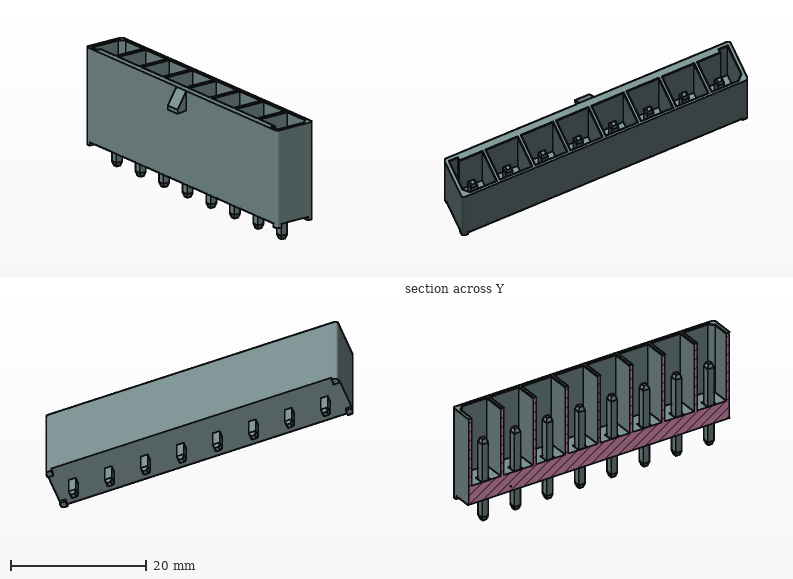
import cadquery as cq

length = 46.25
width = 6.75
top_z = 18.5
body_bottom_z = 3.75
corner_radius = 0.45

standoff_size = 0.92
standoff_height = 0.55
standoff_bottom_z = body_bottom_z - standoff_height

cell_count = 8
pin_row_length = 39.9
pitch = pin_row_length / (cell_count - 1)
cell_size = 5.1
cell_center_y = 0.35
cell_front_y = cell_center_y - cell_size / 2
cell_back_y = cell_center_y + cell_size / 2
floor_z = 6.95
rim_chamfer = 0.1

end_wall = 0.65
end_chamfer = 0.8
notch_depth = 0.55
notch_length = 1.35

pin_size = 1.1
pin_tip_size = 0.65
pin_tip_height = 0.7
pin_top_z = 13.88
funnel_size = 1.55
funnel_depth = 0.25

latch_width = 2.35
latch_reach = 1.6
latch_height = 3.25
latch_lip_height = 0.65
latch_undercut = 0.2


def cell_x(index):
    return (index - (cell_count - 1) / 2) * pitch


def make_block(size_x, size_y, z_min, z_max, center=(0, 0)):
    return (
        cq.Workplane("XY", origin=(*center, z_min))
        .rect(size_x, size_y).extrude(z_max - z_min)
    )


def make_tapered_block(x, z_min, bottom_size, height, top_size):
    return (
        cq.Workplane("XY", origin=(x, 0, z_min)).rect(bottom_size, bottom_size)
        .workplane(offset=height).rect(top_size, top_size).loft()
    )


def make_body():
    """Rounded block whose underside is relieved to leave four corner standoffs."""
    body = make_block(length, width, standoff_bottom_z, top_z)
    body = body.edges("|Z").fillet(corner_radius)
    relief_along_x = make_block(length - 2 * standoff_size, width, standoff_bottom_z, body_bottom_z)
    relief_along_y = make_block(length, width - 2 * standoff_size, standoff_bottom_z, body_bottom_z)
    return body.cut(relief_along_x).cut(relief_along_y)


def make_middle_cavity(x):
    return make_block(cell_size, cell_size, floor_z, top_z, center=(x, cell_center_y))


def make_end_cavity():
    """Cavity at the -X end; the one at the +X end is its mirror image."""
    left = -length / 2 + end_wall
    right = cell_x(0) + cell_size / 2
    outline = [
        (left, cell_front_y - notch_depth),
        (left + notch_length, cell_front_y - notch_depth),
        (left + notch_length, cell_front_y),
        (right, cell_front_y),
        (right, cell_back_y),
        (left + end_chamfer, cell_back_y),
        (left, cell_back_y - end_chamfer),
    ]
    return (
        cq.Workplane("XY", origin=(0, 0, floor_z))
        .polyline(outline).close().extrude(top_z - floor_z)
    )


def chamfer_cavity_rims(housing):
    """Chamfer every edge of the top face except those of the outer outline."""
    inner_x = (length - end_wall) / 2
    inner_y = (width - end_wall) / 2
    inside_outline = cq.selectors.BoxSelector(
        (-inner_x, -inner_y, floor_z),
        (inner_x, inner_y, top_z + rim_chamfer),
    )
    return housing.faces(">Z").edges(inside_outline).chamfer(rim_chamfer)


def make_funnel(x):
    return make_tapered_block(x, floor_z - funnel_depth, pin_size, funnel_depth, funnel_size)


def make_pin(x):
    shank_top_z = pin_top_z - pin_tip_height
    shank = make_block(pin_size, pin_size, pin_tip_height, shank_top_z, center=(x, 0))
    lower_tip = make_tapered_block(x, 0, pin_tip_size, pin_tip_height, pin_size)
    upper_tip = make_tapered_block(x, shank_top_z, pin_size, pin_tip_height, pin_tip_size)
    return shank.union(lower_tip).union(upper_tip)


def make_latch():
    """Ramp sloping out from the top edge to a short lip with an undercut catch face."""
    wall_y = -width / 2
    lip_y = wall_y - latch_reach
    lip_bottom_z = top_z - latch_height
    profile = [
        (wall_y, top_z),
        (lip_y, lip_bottom_z + latch_lip_height),
        (lip_y, lip_bottom_z),
        (wall_y, lip_bottom_z + latch_undercut),
    ]
    return (
        cq.Workplane("YZ").polyline(profile).close()
        .extrude(latch_width / 2, both=True)
    )


end_cavity = make_end_cavity()
result = make_body().cut(end_cavity).cut(end_cavity.mirror("YZ"))
for index in range(1, cell_count - 1):
    result = result.cut(make_middle_cavity(cell_x(index)))
result = chamfer_cavity_rims(result)

for index in range(cell_count):
    x = cell_x(index)
    result = result.cut(make_funnel(x)).union(make_pin(x))

result = result.union(make_latch())